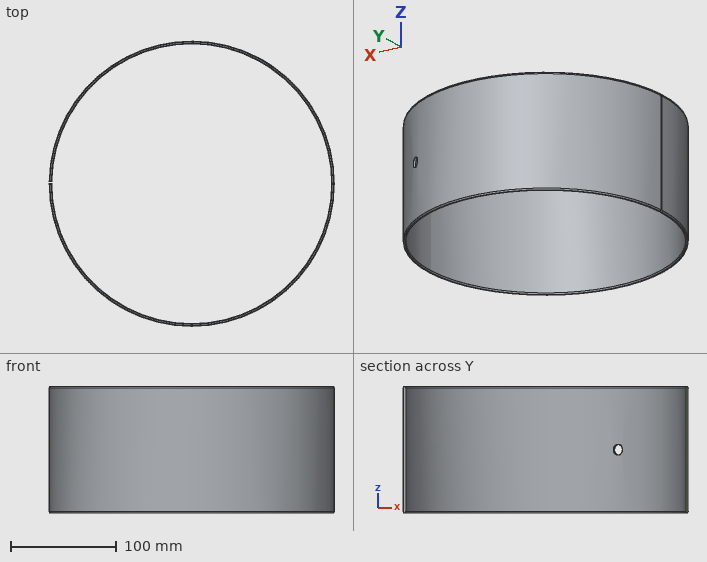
import cadquery as cq

outer_diameter = 270.0
height = 120.0
wall = 2.5
rim_chamfer_height = 1.5
rim_chamfer_depth = 0.5
slit_width = 2.2
hole_diameter = 10.0
hole_angle = 59.0

outer_radius = outer_diameter / 2
inner_radius = outer_radius - wall


def make_band():
    """Thin ring centred on the origin, bevelled on both sides of both rims."""
    half_height = height / 2
    shoulder = half_height - rim_chamfer_height
    rim_outer = outer_radius - rim_chamfer_depth
    rim_inner = inner_radius + rim_chamfer_depth
    section = [
        (inner_radius, -shoulder),
        (rim_inner, -half_height),
        (rim_outer, -half_height),
        (outer_radius, -shoulder),
        (outer_radius, shoulder),
        (rim_outer, half_height),
        (rim_inner, half_height),
        (inner_radius, shoulder),
    ]
    return cq.Workplane("XZ").polyline(section).close().revolve(360, (0, 0, 0), (0, 1, 0))


def make_slit():
    """Full-height cut through the -X wall, with one face on the XZ plane."""
    return cq.Workplane("XY").box(
        outer_diameter, slit_width, 2 * height, centered=(True, False, True)
    ).translate((-outer_radius, 0, 0))


def make_hole():
    """Radial drill from the axis out through the wall at mid-height."""
    drill = cq.Workplane("YZ").circle(hole_diameter / 2).extrude(outer_diameter)
    return drill.rotate((0, 0, 0), (0, 0, 1), hole_angle)


result = make_band().cut(make_slit()).cut(make_hole())